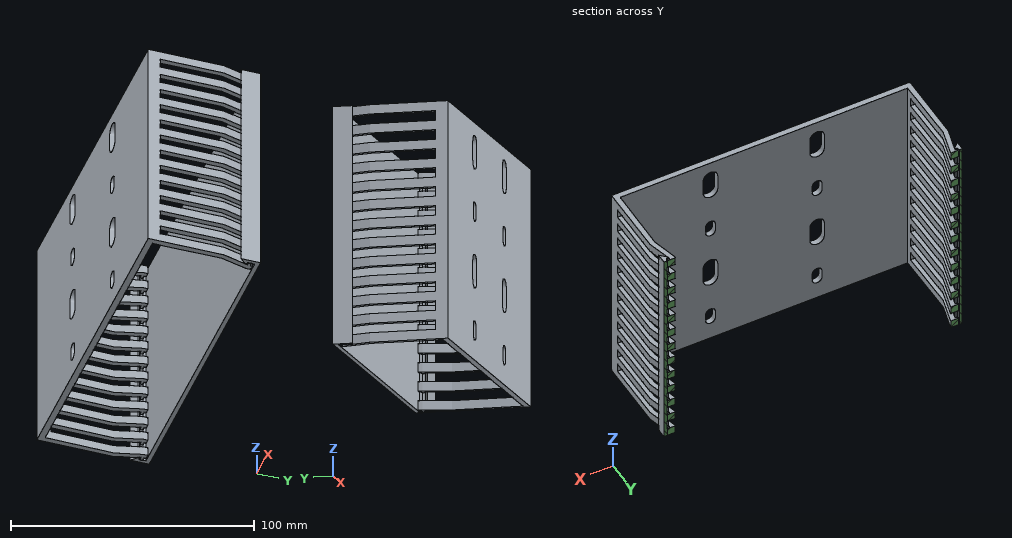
import cadquery as cq

width = 140.0
depth = 49.0
height = 100.0
half_width = width / 2
cut_margin = 1.4

plate_thickness = 2.1
lip_thickness = 1.8
lip_length = 8.5
hook_top_drop = 5.2

base_thickness = 2.8
wall_thickness = 2.4
root_thickness = 2.7
outer_bend_y = 33.0
inner_bend_y = 32.8

lean = 0.27
tip_gap = 0.4
tip_outer_in = 3.2
tip_inner_in = 5.5
tip_knee_drop = 4.5
barb_radius = 0.7
groove_clearance = 0.1
barb_center_in = 2.4
barb_center_drop = 4.0

slot_count = 12
slot_height = height / (2 * slot_count + 1)
slot_floor_y = 5.3

column_spacing = 50.0
row_spacing = height / 4
long_hole_length = 14.0
long_hole_width = 6.7
short_hole_length = 8.0
short_hole_width = 4.5

plate_inner_y = depth - plate_thickness
barb_y = depth - barb_center_drop
bottom_z = -height / 2


def flank_in(y):
    """Distance of the leaning outer flank from the outer side face at a given Y."""
    return lean * (y - outer_bend_y)


def at_left(inset, y):
    """Point on the -X half of the cross-section."""
    return (inset - half_width, y)


def extruded(profile):
    return profile.close().extrude(height)


def with_mirror(half):
    return half.union(half.mirror("YZ"), clean=True)


def make_channel():
    barb_bottom_y = barb_y - barb_radius
    barb_top_y = barb_y + barb_radius
    tip_y = plate_inner_y - tip_gap
    half = extruded(
        cq.Workplane("XY", origin=(0, 0, bottom_z))
        .moveTo(0, 0)
        .lineTo(*at_left(0, 0))
        .lineTo(*at_left(0, outer_bend_y))
        .lineTo(*at_left(flank_in(barb_bottom_y), barb_bottom_y))
        .lineTo(*at_left(barb_center_in, barb_bottom_y))
        .threePointArc(
            at_left(barb_center_in - barb_radius, barb_y),
            at_left(barb_center_in, barb_top_y),
        )
        .lineTo(*at_left(tip_outer_in, barb_top_y))
        .lineTo(*at_left(tip_outer_in, tip_y))
        .lineTo(*at_left(tip_inner_in, tip_y))
        .lineTo(*at_left(tip_inner_in, depth - tip_knee_drop))
        .lineTo(*at_left(wall_thickness, inner_bend_y))
        .lineTo(*at_left(root_thickness, base_thickness))
        .lineTo(0, base_thickness)
    )
    return with_mirror(half).cut(wall_slots()).cut(mounting_holes())


def wall_slots():
    """Cutters that run across both walls and stay open toward the cover."""
    centers = [(0, (i - (slot_count - 1) / 2) * 2 * slot_height) for i in range(slot_count)]
    return (
        cq.Workplane("XZ", origin=(0, slot_floor_y, 0))
        .pushPoints(centers)
        .rect(width + 2 * cut_margin, slot_height)
        .extrude(-depth)
    )


def hole_row(z, length, hole_width):
    return (
        cq.Workplane("XZ", origin=(0, -cut_margin, 0))
        .pushPoints([(-column_spacing / 2, z), (column_spacing / 2, z)])
        .slot2D(length, hole_width, 90)
        .extrude(-(base_thickness + 2 * cut_margin))
    )


def mounting_holes():
    holes = cq.Workplane("XZ")
    for pair_z in (-row_spacing, row_spacing):
        holes = holes.add(hole_row(pair_z + row_spacing / 2, long_hole_length, long_hole_width))
        holes = holes.add(hole_row(pair_z - row_spacing / 2, short_hole_length, short_hole_width))
    return holes.combine()


def make_cover():
    lip_end_y = depth - lip_length
    hook_top_y = depth - hook_top_drop
    hook_edge_in = flank_in(lip_end_y) / (1 - lean)
    half = extruded(
        cq.Workplane("XY", origin=(0, 0, bottom_z))
        .moveTo(0, depth)
        .lineTo(*at_left(0, depth))
        .lineTo(*at_left(0, lip_end_y))
        .lineTo(*at_left(hook_edge_in, lip_end_y + hook_edge_in))
        .lineTo(*at_left(flank_in(hook_top_y), hook_top_y))
        .lineTo(*at_left(lip_thickness, hook_top_y))
        .lineTo(*at_left(lip_thickness, plate_inner_y))
        .lineTo(0, plate_inner_y)
    )
    return with_mirror(half.cut(barb_groove()))


def barb_groove():
    return (
        cq.Workplane("XY", origin=(0, 0, bottom_z))
        .center(*at_left(barb_center_in, barb_y))
        .circle(barb_radius + groove_clearance)
        .extrude(height)
    )


channel = make_channel()
cover = make_cover()
result = cq.Compound.makeCompound([channel.solids().val(), cover.solids().val()])